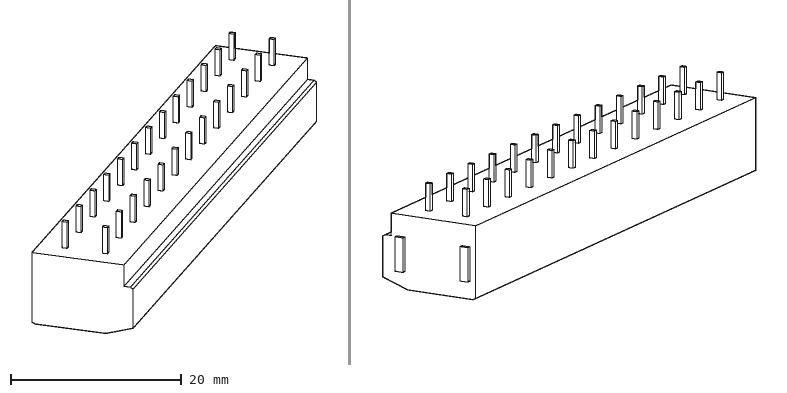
import cadquery as cq

body_width = 12.6
body_length = 66.05
body_height = 9.05
top_width = 11.45
step_height = 6.3
step_chamfer_width = 0.3
step_chamfer_height = 0.2
slope_start_x = 9.2
slope_rise = 1.1
bottom_chamfer_width = 0.4
bottom_chamfer_height = 0.2

pin_size_x = 0.63
pin_size_y = 0.5
pin_height = 3.3
pin_row_length = 60.0
pins_per_row = 13
pin_row_count = 2
pin_pitch = pin_row_length / (pins_per_row - 1)
first_pin_x = 3.2
first_pin_y = 2.8

lug_width = 1.05
lug_height = 4.2
lug_depth = 0.45
lug_bottom = 2.2
lug_centers_x = (1.3, 10.1)


def make_housing():
    """Stepped housing sloped at the lower +X edge and chamfered at the lower -X edge."""
    outline = [
        (bottom_chamfer_width, 0),
        (slope_start_x, 0),
        (body_width, slope_rise),
        (body_width, step_height - step_chamfer_height),
        (body_width - step_chamfer_width, step_height),
        (top_width, step_height),
        (top_width, body_height),
        (0, body_height),
        (0, bottom_chamfer_height),
    ]
    return cq.Workplane("XZ").polyline(outline).close().extrude(-body_length)


def make_pins():
    """Grid of upright pins standing on the top face."""
    centers = [
        (first_pin_x + row * pin_pitch, first_pin_y + index * pin_pitch)
        for row in range(pin_row_count)
        for index in range(pins_per_row)
    ]
    return (
        cq.Workplane("XY", origin=(0, 0, body_height))
        .pushPoints(centers)
        .rect(pin_size_x, pin_size_y)
        .extrude(pin_height)
    )


def make_lugs():
    """Pair of flat rectangular lugs projecting from the +Y end."""
    lug_center_z = lug_bottom + lug_height / 2
    return (
        cq.Workplane("XZ", origin=(0, body_length, 0))
        .pushPoints([(x, lug_center_z) for x in lug_centers_x])
        .rect(lug_width, lug_height)
        .extrude(-lug_depth)
    )


result = make_housing().union(make_pins()).union(make_lugs())